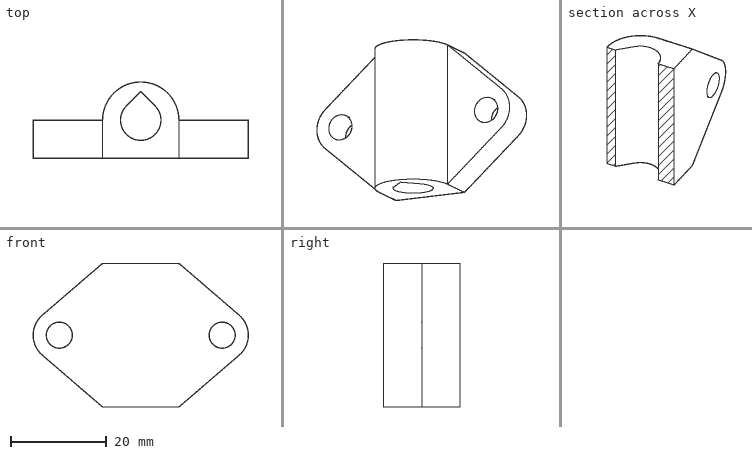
import cadquery as cq
import math

barrel_diameter = 16.0
barrel_length = 30.0
bore_diameter = 8.4
plate_thickness = 8.0
screw_spacing = 34.0
screw_hole_diameter = 5.4
ear_radius = 5.5

barrel_radius = barrel_diameter / 2
bore_radius = bore_diameter / 2
half_length = barrel_length / 2
screw_x = screw_spacing / 2
plate_front_y = -plate_thickness


def flange_plate():
    """Plate whose slanted edges run tangent from the barrel corners to the rounded ears."""
    corner_x = barrel_radius
    corner_z = half_length
    corner_distance = math.hypot(corner_x - screw_x, corner_z)
    corner_angle = math.atan2(corner_z, corner_x - screw_x)
    tangent_angle = corner_angle - math.acos(ear_radius / corner_distance)
    tangent_x = screw_x + ear_radius * math.cos(tangent_angle)
    tangent_z = ear_radius * math.sin(tangent_angle)
    ear_tip_x = screw_x + ear_radius

    return (
        cq.Workplane("XZ")
        .moveTo(-corner_x, corner_z)
        .lineTo(corner_x, corner_z)
        .lineTo(tangent_x, tangent_z)
        .threePointArc((ear_tip_x, 0), (tangent_x, -tangent_z))
        .lineTo(corner_x, -corner_z)
        .lineTo(-corner_x, -corner_z)
        .lineTo(-tangent_x, -tangent_z)
        .threePointArc((-ear_tip_x, 0), (-tangent_x, tangent_z))
        .close()
        .extrude(plate_thickness)
    )


def barrel():
    """Cylinder half sunk into the back of the plate."""
    return (
        cq.Workplane("XY", origin=(0, 0, -half_length))
        .circle(barrel_radius)
        .extrude(barrel_length)
    )


def teardrop_bore():
    """Through bore with a 90 degree peak pointing away from the plate."""
    flank_offset = bore_radius * math.sqrt(0.5)
    peak_y = bore_radius * math.sqrt(2)
    return (
        cq.Workplane("XY", origin=(0, 0, -half_length))
        .moveTo(-flank_offset, flank_offset)
        .threePointArc((0, -bore_radius), (flank_offset, flank_offset))
        .lineTo(0, peak_y)
        .close()
        .extrude(barrel_length)
    )


def screw_holes():
    """Two holes through the plate, concentric with the ears."""
    return (
        cq.Workplane("XZ", origin=(0, plate_front_y, 0))
        .pushPoints([(-screw_x, 0), (screw_x, 0)])
        .circle(screw_hole_diameter / 2)
        .extrude(-plate_thickness)
    )


result = flange_plate().union(barrel()).cut(teardrop_bore()).cut(screw_holes())